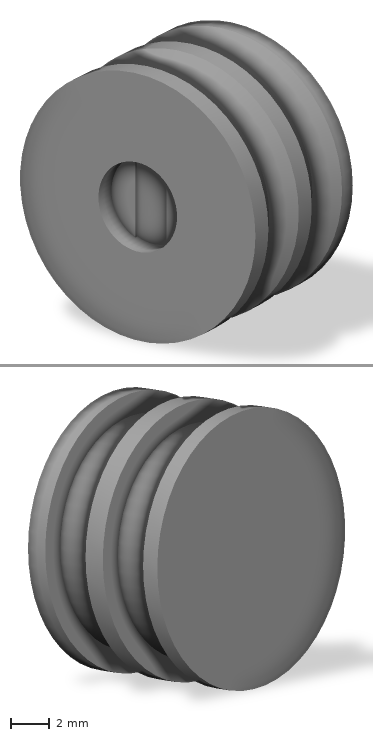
import cadquery as cq

rim_radius = 7.5
groove_radius = 6.3
total_length = 9.0

flange_width = 1.2
groove_width = 1.8
taper_width = 1.0

bore_radius = 2.5
bore_depth = 1.2
slot_width = 2.0
slot_depth = 0.2

front_y = -total_length / 2
back_y = total_length / 2
groove_pitch = flange_width + groove_width + taper_width
groove_count = 2


def cylinder_along_y(radius, start_y, length):
    """Solid cylinder on the pulley axis, growing towards +Y."""
    return cq.Workplane("XZ", origin=(0, start_y, 0)).circle(radius).extrude(-length)


def make_body():
    """Revolve the half profile: stepped front flank and conical rear flank per groove."""
    profile = cq.Workplane("XY").moveTo(0, front_y).lineTo(rim_radius, front_y)
    for index in range(groove_count):
        groove_start = front_y + index * groove_pitch + flange_width
        groove_end = groove_start + groove_width
        profile = (
            profile.lineTo(rim_radius, groove_start)
            .lineTo(groove_radius, groove_start)
            .lineTo(groove_radius, groove_end)
            .lineTo(rim_radius, groove_end + taper_width)
        )
    profile = profile.lineTo(rim_radius, back_y).lineTo(0, back_y).close()
    return profile.revolve(360, (0, 0, 0), (0, 1, 0))


def make_socket():
    """Blind front bore with a shallow vertical slot across its floor."""
    bore = cylinder_along_y(bore_radius, front_y, bore_depth)
    floor_y = front_y + bore_depth
    slot_bar = cq.Workplane("XY").box(slot_width, slot_depth, 2 * bore_radius)
    slot_bar = slot_bar.translate((0, floor_y + slot_depth / 2, 0))
    slot = slot_bar.intersect(cylinder_along_y(bore_radius, floor_y, slot_depth))
    return bore.union(slot)


result = make_body().cut(make_socket())